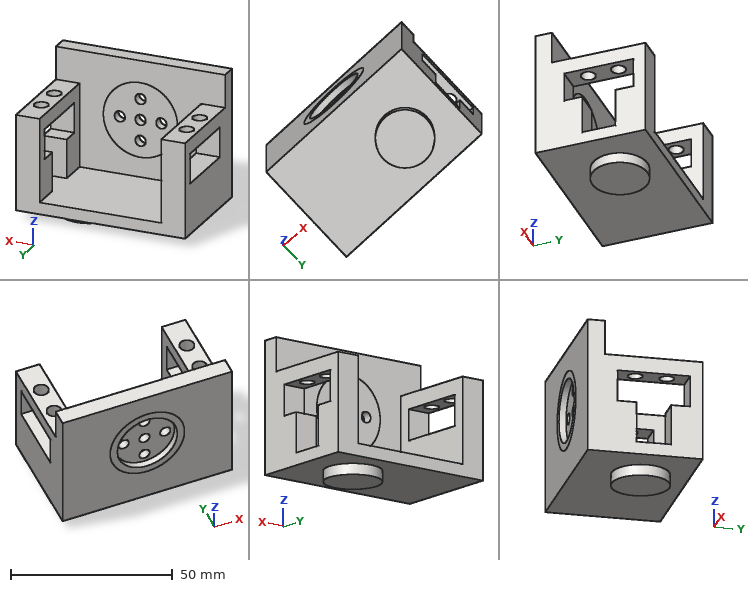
import cadquery as cq

width = 57.0
depth = 36.5
front_height = 43.0
front_thickness = 5.5
arm_height = 32.0
arm_thickness = 8.0
floor_thickness = 4.0

window_bottom = 17.0
window_height = 10.0
window_length = 23.0
window_back_margin = 4.0
window_center_y = depth - window_back_margin - window_length / 2

arm_hole_diameter = 4.65
arm_hole_pitch = 10.0
arm_hole_center_y = 21.0
arm_hole_edge_distance = 4.0
arm_hole_x = width / 2 - arm_hole_edge_distance
arm_hole_depth = arm_height - window_bottom - window_height

notch_length = 11.0

boss_diameter = 18.35
boss_height = 3.5
boss_x = 10.5
boss_y = arm_hole_center_y

insert_diameter = 25.0
insert_center_z = 23.125
recess_diameter = 20.15
recess_depth = 2.25
insert_hole_diameter = 3.5
insert_hole_radius = 7.0


def front_cylinder(diameter, length):
    """Cylinder from the front face along +Y, on the axis of the insert."""
    plane = cq.Plane(origin=(0, 0, insert_center_z), xDir=(-1, 0, 0), normal=(0, 1, 0))
    return cq.Workplane(plane).circle(diameter / 2).extrude(length)


def make_block():
    """Solid L-shaped block: tall front wall with a lower body behind it."""
    return (
        cq.Workplane("YZ", origin=(-width / 2, 0, 0))
        .moveTo(0, 0)
        .lineTo(depth, 0)
        .lineTo(depth, arm_height)
        .lineTo(front_thickness, arm_height)
        .lineTo(front_thickness, front_height)
        .lineTo(0, front_height)
        .close()
        .extrude(width)
    )


def make_cavity():
    """Space between the arms, open at the top and the back."""
    return cq.Workplane("XY").box(
        width - 2 * arm_thickness,
        depth - front_thickness,
        arm_height - floor_thickness,
        centered=(True, False, False),
    ).translate((0, front_thickness, floor_thickness))


def make_arm_windows():
    return cq.Workplane("XY").box(
        width, window_length, window_height, centered=(True, True, False)
    ).translate((0, window_center_y, window_bottom))


def make_arm_holes():
    hole_centers = [
        (side * arm_hole_x, arm_hole_center_y + end * arm_hole_pitch / 2)
        for side in (-1, 1)
        for end in (-1, 1)
    ]
    return (
        cq.Workplane("XY", origin=(0, 0, arm_height))
        .pushPoints(hole_centers)
        .circle(arm_hole_diameter / 2)
        .extrude(-arm_hole_depth)
    )


def make_notch():
    return cq.Workplane("XY").box(
        arm_thickness,
        notch_length,
        window_bottom - floor_thickness,
        centered=(False, True, False),
    ).translate((width / 2 - arm_thickness, arm_hole_center_y, floor_thickness))


def make_boss():
    return (
        cq.Workplane("XY")
        .center(boss_x, boss_y)
        .circle(boss_diameter / 2)
        .extrude(-boss_height)
    )


def make_housing():
    return (
        make_block()
        .cut(make_cavity())
        .cut(make_arm_windows())
        .cut(make_arm_holes())
        .cut(make_notch())
        .union(make_boss())
        .cut(front_cylinder(insert_diameter, front_thickness))
    )


def make_insert():
    """Disc flush with both faces of the front wall, recessed in front, with five through holes."""
    disc = front_cylinder(insert_diameter, front_thickness)
    disc = disc.cut(front_cylinder(recess_diameter, recess_depth))
    hole = front_cylinder(insert_hole_diameter, front_thickness)
    hole_offsets = [(0, 0)]
    for sign in (-1, 1):
        hole_offsets.append((sign * insert_hole_radius, 0))
        hole_offsets.append((0, sign * insert_hole_radius))
    for offset_x, offset_z in hole_offsets:
        disc = disc.cut(hole.translate((offset_x, 0, offset_z)))
    return disc


housing = make_housing()
insert = make_insert()

result = cq.Compound.makeCompound([housing.val(), insert.val()])